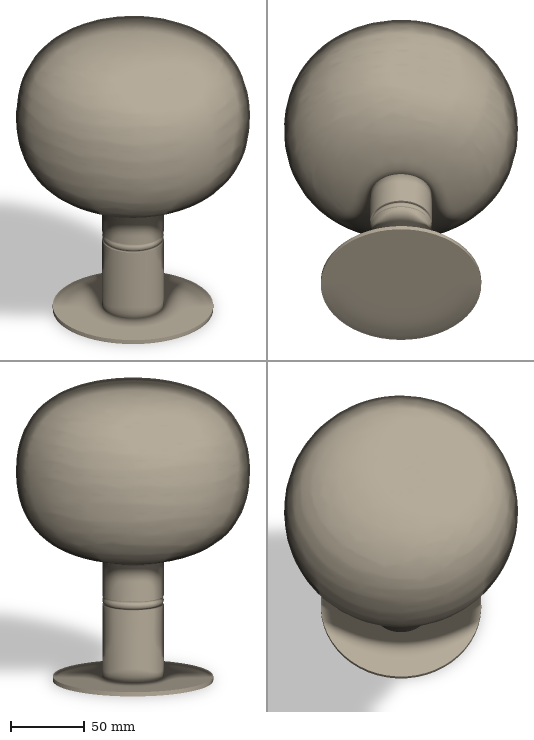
import cadquery as cq

base_diameter = 109.5
base_thickness = 3.0
stem_diameter = 42.0
stem_height = 50.0
neck_height = 25.0

ring_height = 6.0
ring_rounding = ring_height / 2

globe_diameter = 159.5
globe_height = 123.33
globe_fullness = 2 / 3

base_radius = base_diameter / 2
stem_radius = stem_diameter / 2
ring_bottom = base_thickness + stem_height
ring_middle = ring_bottom + ring_rounding
ring_top = ring_bottom + ring_height
groove_radius = stem_radius - ring_rounding
neck_top = ring_top + neck_height


def make_stand():
    """Base disc, stem and neck turned as one piece, with a groove for the ring."""
    return (
        cq.Workplane("XZ")
        .moveTo(0, 0)
        .lineTo(base_radius, 0)
        .lineTo(base_radius, base_thickness)
        .lineTo(stem_radius, base_thickness)
        .lineTo(stem_radius, ring_bottom)
        .lineTo(groove_radius, ring_bottom)
        .lineTo(groove_radius, ring_top)
        .lineTo(stem_radius, ring_top)
        .lineTo(stem_radius, neck_top)
        .lineTo(0, neck_top)
        .close()
        .revolve(360, (0, 0, 0), (0, 1, 0))
    )


def make_ring():
    """Half-round ring: flat on the groove wall, with two quarter rounds meeting at its middle."""
    diagonal = ring_rounding * 0.5**0.5
    return (
        cq.Workplane("XZ")
        .moveTo(groove_radius, ring_bottom)
        .threePointArc((groove_radius + diagonal, ring_middle - diagonal), (stem_radius, ring_middle))
        .threePointArc((groove_radius + diagonal, ring_middle + diagonal), (groove_radius, ring_top))
        .close()
        .revolve(360, (0, 0, 0), (0, 1, 0))
    )


def make_globe():
    """Flattened globe: a smooth half profile, level at both poles and upright at the equator."""
    radius = globe_diameter / 2
    half_height = globe_height / 2
    bottom = neck_top
    middle = bottom + half_height
    top = bottom + globe_height
    pole_tangent = 3 * globe_fullness * radius
    equator_tangent = 3 * globe_fullness * half_height
    return (
        cq.Workplane("XZ")
        .spline(
            [(0, bottom), (radius, middle), (0, top)],
            tangents=[(pole_tangent, 0), (0, equator_tangent), (-pole_tangent, 0)],
            parameters=[0, 1, 2],
            scale=False,
        )
        .close()
        .revolve(360, (0, 0, 0), (0, 1, 0))
    )


stand = make_stand()
ring = make_ring()
globe = make_globe()

result = cq.Compound.makeCompound([stand.val(), ring.val(), globe.val()])